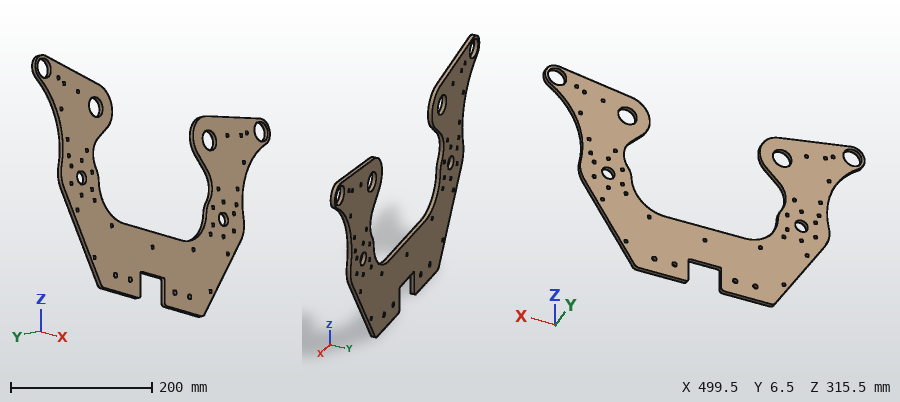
import cadquery as cq
import math

WIDTH = 499.5
HEIGHT = 315.5
THICKNESS = 6.5

EAR_RADIUS = 19.0
EAR_HOLE_DIAMETER = 28.5
EAR_CENTER = (WIDTH / 2 - EAR_RADIUS, HEIGHT - EAR_RADIUS)

SHOULDER_RADIUS = 35.0
SHOULDER_HOLE_DIAMETER = 29.0
SHOULDER_CENTER = (121.0, 262.0)
SHOULDER_SLOPE = math.radians(45)

HIP_CENTER = (151.0, 152.0)
HIP_OUTER_RADIUS = 44.0
HIP_INNER_RADIUS = 36.5
HIP_HOLE_DIAMETER = 19.5
HIP_BOLT_COUNT = 6
HIP_BOLT_CIRCLE_RADIUS = 25.5

FLANK_RADIUS = 114.0
WAIST_RADIUS = 36.0
CRADLE_RADIUS = 52.5
CRADLE_FLOOR = 103.0

FOOT_HALF_WIDTH = 108.0
FOOT_CORNER_RADIUS = 8.0
NOTCH_HALF_WIDTH = 25.5
NOTCH_HEIGHT = 40.0
NOTCH_CORNER_RADIUS = 5.0
NOTCH_ROOT_RADIUS = 2.5

SMALL_HOLE_DIAMETER = 5.0
SMALL_HOLES = [
    (200.5, 288.5),
    (188.5, 282.5),
    (159.0, 277.0),
    (194.5, 244.5),
    (181.0, 202.5),
    (140.0, 194.5),
    (178.5, 179.0),
    (123.5, 124.5),
    (160.0, 103.0),
    (87.0, 94.5),
    (123.5, 40.5),
]
CENTER_HOLE = (0, 80.5)
FOOT_HOLE_DIAMETER = 7.0
FOOT_HOLES = [(47.5, 23.5), (79.0, 23.5)]


def polar(center, radius, angle):
    """Point at the given distance and direction from a center."""
    return (center[0] + radius * math.cos(angle), center[1] + radius * math.sin(angle))


def direction(start, end):
    """Direction angle from one point to another."""
    return math.atan2(end[1] - start[1], end[0] - start[0])


def toward(start, end, length):
    """Point at a given length from start, in the direction of end."""
    return polar(start, length, direction(start, end))


def mirrored(points):
    """The points together with their mirror images in the YZ plane."""
    return points + [(-x, z) for x, z in points]


def arc_middle(center, radius, start, end):
    """Middle of the shorter arc between two points of a circle."""
    chord_middle = ((start[0] + end[0]) / 2, (start[1] + end[1]) / 2)
    return toward(center, chord_middle, radius)


def flank_center():
    """Center of the flank arc, outside both the ear and the hip circles."""
    to_ear = EAR_RADIUS + FLANK_RADIUS
    to_hip = HIP_OUTER_RADIUS + FLANK_RADIUS
    span = math.dist(HIP_CENTER, EAR_CENTER)
    cosine = (to_hip**2 + span**2 - to_ear**2) / (2 * to_hip * span)
    return polar(HIP_CENTER, to_hip, direction(HIP_CENTER, EAR_CENTER) - math.acos(cosine))


def waist_center():
    """Center of the waist arc, touching the shoulder slope and the hip circle."""
    normal = -math.pi + SHOULDER_SLOPE
    to_slope = SHOULDER_RADIUS + WAIST_RADIUS
    to_hip = HIP_INNER_RADIUS + WAIST_RADIUS
    base = polar(SHOULDER_CENTER, to_slope, normal)
    angle = normal + math.pi / 2
    offset_x = base[0] - HIP_CENTER[0]
    offset_z = base[1] - HIP_CENTER[1]
    along = offset_x * math.cos(angle) + offset_z * math.sin(angle)
    across_squared = offset_x**2 + offset_z**2 - along**2
    return polar(base, -along - math.sqrt(to_hip**2 - across_squared), angle)


def cradle_center():
    """Center of the cradle corner arc, touching the floor and the hip circle."""
    z = CRADLE_FLOOR + CRADLE_RADIUS
    to_hip = HIP_INNER_RADIUS + CRADLE_RADIUS
    return (HIP_CENTER[0] - math.sqrt(to_hip**2 - (z - HIP_CENTER[1])**2), z)


def half_plate():
    """The +X half of the plate, before its foot and notch corners are rounded."""
    flank = flank_center()
    waist = waist_center()
    cradle = cradle_center()
    foot = (FOOT_HALF_WIDTH, 0)

    span = math.dist(SHOULDER_CENTER, EAR_CENTER)
    lean = math.asin((SHOULDER_RADIUS - EAR_RADIUS) / span)
    top_normal = direction(SHOULDER_CENTER, EAR_CENTER) + math.pi / 2 - lean
    ear_top = polar(EAR_CENTER, EAR_RADIUS, top_normal)
    shoulder_top = polar(SHOULDER_CENTER, SHOULDER_RADIUS, top_normal)

    reach = math.dist(foot, HIP_CENTER)
    hip_normal = direction(HIP_CENTER, foot) + math.acos(HIP_OUTER_RADIUS / reach)
    hip_bottom = polar(HIP_CENTER, HIP_OUTER_RADIUS, hip_normal)

    hip_flank = toward(HIP_CENTER, flank, HIP_OUTER_RADIUS)
    ear_flank = toward(EAR_CENTER, flank, EAR_RADIUS)
    slope_normal = -math.pi + SHOULDER_SLOPE
    shoulder_slope = polar(SHOULDER_CENTER, SHOULDER_RADIUS, slope_normal)
    waist_slope = polar(waist, -WAIST_RADIUS, slope_normal)
    hip_waist = toward(HIP_CENTER, waist, HIP_INNER_RADIUS)
    hip_cradle = toward(HIP_CENTER, cradle, HIP_INNER_RADIUS)
    cradle_floor = (cradle[0], CRADLE_FLOOR)

    ear_tip = polar(EAR_CENTER, EAR_RADIUS, 0)
    shoulder_tip = polar(SHOULDER_CENTER, SHOULDER_RADIUS, math.pi)
    return (
        cq.Workplane("XZ", origin=(0, THICKNESS / 2, 0))
        .moveTo(0, NOTCH_HEIGHT)
        .lineTo(NOTCH_HALF_WIDTH, NOTCH_HEIGHT)
        .lineTo(NOTCH_HALF_WIDTH, 0)
        .lineTo(*foot)
        .lineTo(*hip_bottom)
        .threePointArc(arc_middle(HIP_CENTER, HIP_OUTER_RADIUS, hip_bottom, hip_flank), hip_flank)
        .threePointArc(arc_middle(flank, FLANK_RADIUS, hip_flank, ear_flank), ear_flank)
        .threePointArc(ear_tip, ear_top)
        .lineTo(*shoulder_top)
        .threePointArc(shoulder_tip, shoulder_slope)
        .lineTo(*waist_slope)
        .threePointArc(arc_middle(waist, WAIST_RADIUS, waist_slope, hip_waist), hip_waist)
        .threePointArc(arc_middle(HIP_CENTER, HIP_INNER_RADIUS, hip_waist, hip_cradle), hip_cradle)
        .threePointArc(arc_middle(cradle, CRADLE_RADIUS, hip_cradle, cradle_floor), cradle_floor)
        .lineTo(0, CRADLE_FLOOR)
        .close()
        .extrude(THICKNESS)
    )


def round_corners(plate, x, z, radius):
    """Round the outline corners at height z and at +x and -x."""
    for corner_x in (x, -x):
        corner = cq.selectors.NearestToPointSelector((corner_x, 0, z))
        plate = plate.edges("|Y").edges(corner).fillet(radius)
    return plate


def drill(plate, points, diameter):
    """Cut round holes through the plate at the given (x, z) points."""
    drills = (
        cq.Workplane("XZ")
        .pushPoints(points)
        .circle(diameter / 2)
        .extrude(THICKNESS, both=True)
    )
    return plate.cut(drills)


half = half_plate()
result = half.union(half.mirror("YZ")).clean()
result = round_corners(result, NOTCH_HALF_WIDTH, 0, NOTCH_CORNER_RADIUS)
result = round_corners(result, NOTCH_HALF_WIDTH, NOTCH_HEIGHT, NOTCH_ROOT_RADIUS)
result = round_corners(result, FOOT_HALF_WIDTH, 0, FOOT_CORNER_RADIUS)

result = drill(result, mirrored([EAR_CENTER]), EAR_HOLE_DIAMETER)
result = drill(result, mirrored([SHOULDER_CENTER]), SHOULDER_HOLE_DIAMETER)
result = drill(result, mirrored([HIP_CENTER]), HIP_HOLE_DIAMETER)

hip_bolts = [
    polar(HIP_CENTER, HIP_BOLT_CIRCLE_RADIUS, math.pi / 2 + 2 * math.pi * i / HIP_BOLT_COUNT)
    for i in range(HIP_BOLT_COUNT)
]
result = drill(result, mirrored(SMALL_HOLES + hip_bolts) + [CENTER_HOLE], SMALL_HOLE_DIAMETER)
result = drill(result, mirrored(FOOT_HOLES), FOOT_HOLE_DIAMETER)